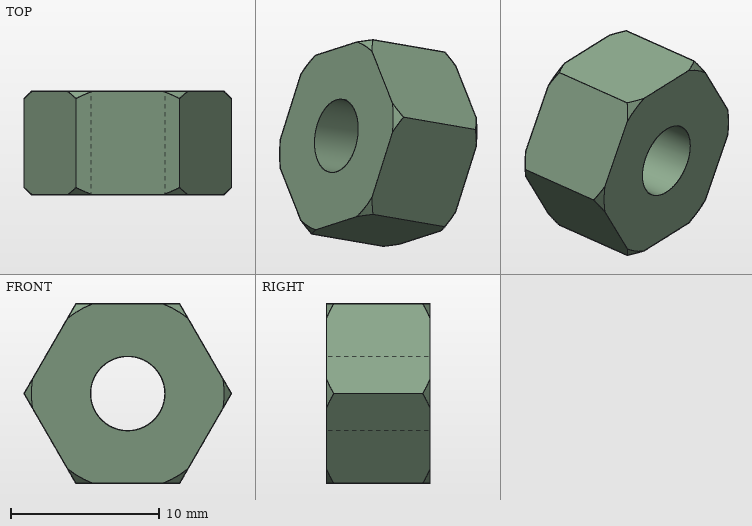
import cadquery as cq

SIDE_COUNT = 6
WIDTH_ACROSS_CORNERS = 14.0
THICKNESS = 7.0
BORE_DIAMETER = 5.0
CORNER_CHAMFER = 0.5

corner_radius = WIDTH_ACROSS_CORNERS / 2
half_thickness = THICKNESS / 2
face_radius = corner_radius - CORNER_CHAMFER


def hexagonal_body():
    """Hexagonal prism along Y, centred on the origin, with corners on the X axis."""
    return (
        cq.Workplane("XZ")
        .polygon(SIDE_COUNT, WIDTH_ACROSS_CORNERS)
        .extrude(half_thickness, both=True)
    )


def chamfer_envelope():
    """Round blank about Y whose coned ends trim the hexagon corners."""
    shoulder = half_thickness - CORNER_CHAMFER
    return (
        cq.Workplane("XY")
        .moveTo(0, -half_thickness)
        .lineTo(face_radius, -half_thickness)
        .lineTo(corner_radius, -shoulder)
        .lineTo(corner_radius, shoulder)
        .lineTo(face_radius, half_thickness)
        .lineTo(0, half_thickness)
        .close()
        .revolve(360, (0, 0, 0), (0, 1, 0))
    )


def bore():
    """Cylinder along Y for the through hole."""
    return (
        cq.Workplane("XZ")
        .circle(BORE_DIAMETER / 2)
        .extrude(half_thickness, both=True)
    )


result = hexagonal_body().intersect(chamfer_envelope()).cut(bore())